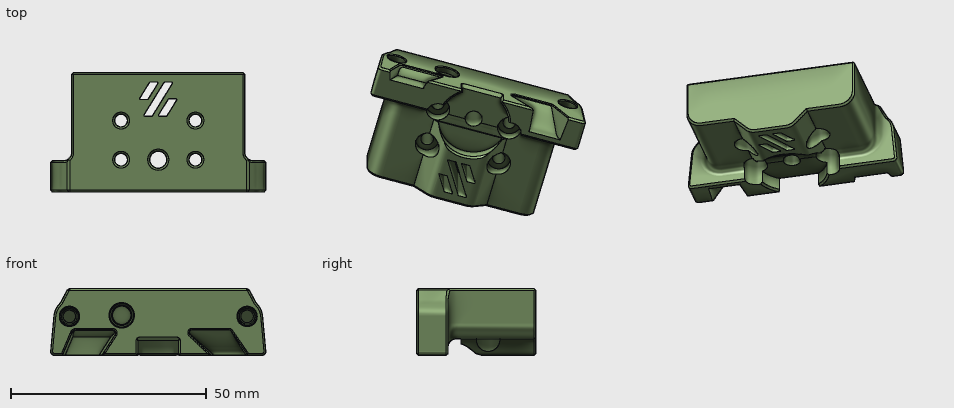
import cadquery as cq
import math

WIDTH = 55.02
DEPTH = 30.5
HEIGHT = 17.1
EDGE = 0.5

PLATE_DEPTH = 8.07
PLATE_TOP_HALF = 23.05
BEND_CORNER = (25.03, 13.35)
BEND_RADIUS = 5.0
SHOULDER_HEIGHT = 11.71
SHOULDER_RADIUS = 4.8
FOOT_RADIUS = 1.0
FLANK_ANGLE = 5.3

BODY_HALF = 22.15
BODY_BOTTOM = 4.2
BODY_EDGE_RADIUS = 3.9
JOINT_RADIUS = 2.0

RIDGE_FRONT = 11.35
RIDGE_HALF = 5.5
RIDGE_SLOPE = 1.0
RIDGE_RADIUS = 3.5

HOLE_HALF_PITCH = 9.5
FRONT_ROW_Y = 8.28
BACK_ROW_Y = 18.28
SCREW_DIAMETER = 3.2
CENTRE_DIAMETER = 4.3
HEAD_DIAMETER = 6.0
HEAD_SEAT_Z = 8.0
TOP_COUNTERSINK = 0.55

RECESS_RADIUS = 9.0
RECESS_HEIGHT = 3.75
MOUTH_HALF = 5.65
THROAT_HALF = 5.1
MOUTH_HEIGHT = 4.65

SLOT_CENTRE_Y = 23.77
SLOT_WIDTH = 2.25
SLOT_LEAN = 0.617
LONG_SLOT = 8.67
SHORT_SLOT = 4.4
SHORT_SLOT_SHIFT = 2.4
SLOT_CORNER = 0.2

SIDE_HOLE_X = 22.7
SIDE_HOLE_Z = 9.97
SIDE_HOLE_DIAMETER = 4.7
SIDE_HOLE_STEP = 4.0
SIDE_HOLE_TIP = 3.2
SIDE_HOLE_DEPTH = 6.0
SOCKET_X = -9.34
SOCKET_Z = 10.25
SOCKET_DIAMETER = 6.0
SOCKET_STEP = 5.2
SOCKET_TIP = 4.7
SOCKET_DEPTH = 1.6
STEP_LENGTH = 0.2
HOLE_CHAMFER = 0.25

POCKET_TOP = 6.9
LEFT_POCKET = ((-24.9, 0), (-22.0, POCKET_TOP), (-9.5, POCKET_TOP), (-13.95, 0))
LEFT_POCKET_TAPER = 15
LEFT_POCKET_CEILING_END = 4.7
LEFT_POCKET_RADII = (1.7, 1.2)
RIGHT_POCKET = ((13.1, 0), (5.9, POCKET_TOP), (18.6, POCKET_TOP), (23.4, 0))
RIGHT_POCKET_TAPER = 4
RIGHT_POCKET_CEILING_END = 2.1
RIGHT_POCKET_RADII = (1.1, 1.1)
CEILING_ANGLE = 41.5
LIP_DEPTH = 0.2
LIP_TAPER = 60

OVERSIZE = 60.0


def front_plane(y):
    """Plane at depth y that faces -Y, with local x along X and local y along Z."""
    return cq.Workplane(cq.Plane((0, y, 0), (1, 0, 0), (0, -1, 0)))


def rounded_at(solid, x, z, radius):
    """Round the edge along Y that runs through (x, z)."""
    reach = 0.1
    corner = cq.selectors.BoxSelector((x - reach, -OVERSIZE, z - reach), (x + reach, OVERSIZE, z + reach))
    return solid.edges("|Y").edges(corner).fillet(radius)


def cheek_profile():
    """The front outline of the part, run through its whole depth."""
    lean = math.radians(FLANK_ANGLE)
    foot_overhang = FOOT_RADIUS / math.tan(math.pi / 4 - lean / 2) - FOOT_RADIUS
    foot = WIDTH / 2 + foot_overhang
    shoulder = foot - SHOULDER_HEIGHT * math.tan(lean)
    half_outline = [
        (0, 0),
        (foot, 0),
        (shoulder, SHOULDER_HEIGHT),
        BEND_CORNER,
        (PLATE_TOP_HALF, HEIGHT),
        (0, HEIGHT),
    ]
    half = front_plane(0).polyline(half_outline).close().extrude(-DEPTH)
    half = rounded_at(half, foot, 0, FOOT_RADIUS)
    half = rounded_at(half, shoulder, SHOULDER_HEIGHT, SHOULDER_RADIUS)
    half = rounded_at(half, *BEND_CORNER, BEND_RADIUS)
    return half.union(half.mirror("YZ")).clean()


def plate_and_body():
    """Join oversized plate and body stock with rounded corners, then trim both to the outline."""
    body_height = OVERSIZE - BODY_BOTTOM
    body = (
        cq.Workplane("XY", origin=(0, 0, BODY_BOTTOM))
        .rect(2 * BODY_HALF, 2 * DEPTH)
        .extrude(body_height)
        .edges("|Y and <Z")
        .fillet(BODY_EDGE_RADIUS)
    )
    plate = cq.Workplane("XY").box(2 * OVERSIZE, 2 * PLATE_DEPTH, 2 * OVERSIZE)
    joint = cq.selectors.BoxSelector(
        (-OVERSIZE, PLATE_DEPTH - EDGE, 0), (OVERSIZE, PLATE_DEPTH + EDGE, OVERSIZE - EDGE)
    )
    stock = plate.union(body).edges(joint).fillet(JOINT_RADIUS)
    return stock.intersect(cheek_profile())


def ridge():
    """Ridge under the body that narrows downward and has rounded lower edges."""
    top = BODY_BOTTOM + EDGE
    top_half = RIDGE_HALF + top / RIDGE_SLOPE
    outline = [(-RIDGE_HALF, 0), (RIDGE_HALF, 0), (top_half, top), (-top_half, top)]
    block = front_plane(RIDGE_FRONT).polyline(outline).close().extrude(RIDGE_FRONT - DEPTH)
    return block.edges("|Y and <Z").fillet(RIDGE_RADIUS)


def run_across(side_outline):
    """Extrude a workplane outline drawn in Y and Z across the whole width."""
    return side_outline.close().extrude(OVERSIZE, both=True)


def centre_recess():
    """Round recess below the centre hole, with a flared lip where it breaks through the front."""
    recess = cq.Workplane("XY", origin=(0, FRONT_ROW_Y, 0)).circle(RECESS_RADIUS).extrude(RECESS_HEIGHT)
    rim = cq.Solid.makeCone(RECESS_RADIUS + EDGE, RECESS_RADIUS, EDGE, cq.Vector(0, FRONT_ROW_Y, 0))
    lip_depth = MOUTH_HEIGHT - RECESS_HEIGHT
    flare = [
        (-MOUTH_HALF, 0),
        (MOUTH_HALF, 0),
        (THROAT_HALF, lip_depth),
        (-THROAT_HALF, lip_depth),
    ]
    lip = cq.Workplane("XY").polyline(flare).close().extrude(MOUTH_HEIGHT)
    arch = (
        front_plane(0)
        .rect(2 * MOUTH_HALF, 2 * MOUTH_HEIGHT)
        .extrude(-lip_depth)
        .edges("|Y and >Z")
        .fillet(lip_depth)
    )
    slope = cq.Workplane("YZ").polyline(
        [(0, 0), (0, MOUTH_HEIGHT), (lip_depth, RECESS_HEIGHT), (lip_depth, 0)]
    )
    return recess.union(cq.Workplane(rim)).union(lip.intersect(arch).intersect(run_across(slope)))


def mouth_outline(prism):
    """Take the outline of a prism's front face, ready to be extruded."""
    return front_plane(0).add(prism.faces("<Y").wires().vals()).toPending()


def pocket(outline, depth, taper, corner_radii, side):
    """Tapered pocket with the given mouth corners, kept below the ceiling in the side outline."""
    bottom_left, top_left, top_right, bottom_right = outline

    def extended(top, bottom):
        """Carry a flank on below the part by its own height."""
        return (2 * bottom[0] - top[0], 2 * bottom[1] - top[1])

    corners = [extended(top_left, bottom_left), top_left, top_right, extended(top_right, bottom_right)]
    mouth = front_plane(0).polyline(corners).close().extrude(-depth)
    for (x, z), radius in zip((top_left, top_right), corner_radii):
        mouth = rounded_at(mouth, x, z, radius)
    inset = LIP_DEPTH * math.tan(math.radians(LIP_TAPER))
    lip = mouth_outline(mouth).extrude(-LIP_DEPTH, combine=False, taper=LIP_TAPER)
    block = mouth_outline(mouth).offset2D(-inset).extrude(-depth, combine=False, taper=taper)
    return lip.union(block.intersect(run_across(side)))


def ceiling_run(drop):
    """Depth over which a pocket ceiling comes down by the given drop."""
    return drop / math.tan(math.radians(CEILING_ANGLE))


def left_pocket():
    """Shallow pocket whose sloped ceiling meets a flat upright back wall."""
    depth = ceiling_run(POCKET_TOP - LEFT_POCKET_CEILING_END)
    side = cq.Workplane("YZ").polyline(
        [(0, 0), (0, POCKET_TOP), (depth, LEFT_POCKET_CEILING_END), (depth, 0)]
    )
    return pocket(LEFT_POCKET, depth, LEFT_POCKET_TAPER, LEFT_POCKET_RADII, side)


def right_pocket():
    """Deep pocket whose sloped ceiling rolls over into an upright back wall at the bottom."""
    angle = math.radians(CEILING_ANGLE)
    roll_start = ceiling_run(POCKET_TOP - RIGHT_POCKET_CEILING_END)
    roll_radius = RIGHT_POCKET_CEILING_END / math.cos(angle)
    depth = roll_start + roll_radius * (1 - math.sin(angle))
    side = (
        cq.Workplane("YZ")
        .moveTo(0, 0)
        .lineTo(0, POCKET_TOP)
        .lineTo(roll_start, RIGHT_POCKET_CEILING_END)
        .tangentArcPoint((depth, 0), relative=False)
    )
    return pocket(RIGHT_POCKET, depth, RIGHT_POCKET_TAPER, RIGHT_POCKET_RADII, side)


def hole_from_top(x, y, diameter):
    """Through hole with a countersunk mouth in the top face."""
    radius = diameter / 2
    bore = cq.Workplane("XY", origin=(x, y, 0)).circle(radius).extrude(HEIGHT)
    sink = cq.Solid.makeCone(
        radius, radius + TOP_COUNTERSINK, TOP_COUNTERSINK, cq.Vector(x, y, HEIGHT - TOP_COUNTERSINK)
    )
    return bore.union(cq.Workplane(sink))


def screw_hole(x, y):
    """Screw hole counterbored from below for the screw head."""
    head = cq.Workplane("XY", origin=(x, y, 0)).circle(HEAD_DIAMETER / 2).extrude(HEAD_SEAT_Z)
    return hole_from_top(x, y, SCREW_DIAMETER).union(head)


def stepped_hole(x, z, diameter, step_diameter, tip_diameter, depth):
    """Blind hole in the front face with a chamfered mouth and two conical steps to a flat tip."""
    radius = diameter / 2
    step_radius = step_diameter / 2
    tip_radius = tip_diameter / 2
    step_start = depth + radius - step_radius
    step_end = step_start + STEP_LENGTH
    tip_depth = step_end + step_radius - tip_radius
    half_section = [
        (0, 0),
        (radius + HOLE_CHAMFER, 0),
        (radius, HOLE_CHAMFER),
        (radius, depth),
        (step_radius, step_start),
        (step_radius, step_end),
        (tip_radius, tip_depth),
        (0, tip_depth),
    ]
    turned = cq.Workplane("XY").polyline(half_section).close().revolve(360, (0, 0), (0, 1))
    return turned.translate((x, 0, z))


def side_hole(side):
    return stepped_hole(
        side * SIDE_HOLE_X,
        SIDE_HOLE_Z,
        SIDE_HOLE_DIAMETER,
        SIDE_HOLE_STEP,
        SIDE_HOLE_TIP,
        SIDE_HOLE_DEPTH,
    )


def socket():
    return stepped_hole(SOCKET_X, SOCKET_Z, SOCKET_DIAMETER, SOCKET_STEP, SOCKET_TIP, SOCKET_DEPTH)


def slanted_slot(x, y, length):
    """Through slot centred at (x, y), leaning toward +X as it runs back."""
    lean = SLOT_LEAN * length / 2
    half_width = SLOT_WIDTH / 2
    half_length = length / 2
    corners = [
        (-half_width - lean, -half_length),
        (half_width - lean, -half_length),
        (half_width + lean, half_length),
        (-half_width + lean, half_length),
    ]
    slot = cq.Workplane("XY", origin=(x, y, 0)).polyline(corners).close().extrude(HEIGHT)
    return slot.edges("|Z").fillet(SLOT_CORNER)


def slots():
    short_y = (LONG_SLOT - SHORT_SLOT) / 2
    long_slot = slanted_slot(0, SLOT_CENTRE_Y, LONG_SLOT)
    back_slot = slanted_slot(-SHORT_SLOT_SHIFT, SLOT_CENTRE_Y + short_y, SHORT_SLOT)
    front_slot = slanted_slot(SHORT_SLOT_SHIFT, SLOT_CENTRE_Y - short_y, SHORT_SLOT)
    return long_slot.union(back_slot).union(front_slot)


result = plate_and_body()
result = result.faces("<Y or >Z").edges().chamfer(EDGE)
plate_back = cq.selectors.BoxSelector(
    (-OVERSIZE, PLATE_DEPTH - EDGE / 2, -EDGE), (OVERSIZE, PLATE_DEPTH + EDGE / 2, BODY_BOTTOM)
)
result = result.edges(plate_back).chamfer(EDGE)
result = result.union(ridge())
result = result.faces(">Y").edges("not >Z").chamfer(EDGE)

result = result.cut(left_pocket()).cut(right_pocket())
result = result.cut(centre_recess())

for side in (-1, 1):
    for row_y in (FRONT_ROW_Y, BACK_ROW_Y):
        result = result.cut(screw_hole(side * HOLE_HALF_PITCH, row_y))
    result = result.cut(side_hole(side))
result = result.cut(hole_from_top(0, FRONT_ROW_Y, CENTRE_DIAMETER))
result = result.cut(socket())
result = result.cut(slots())